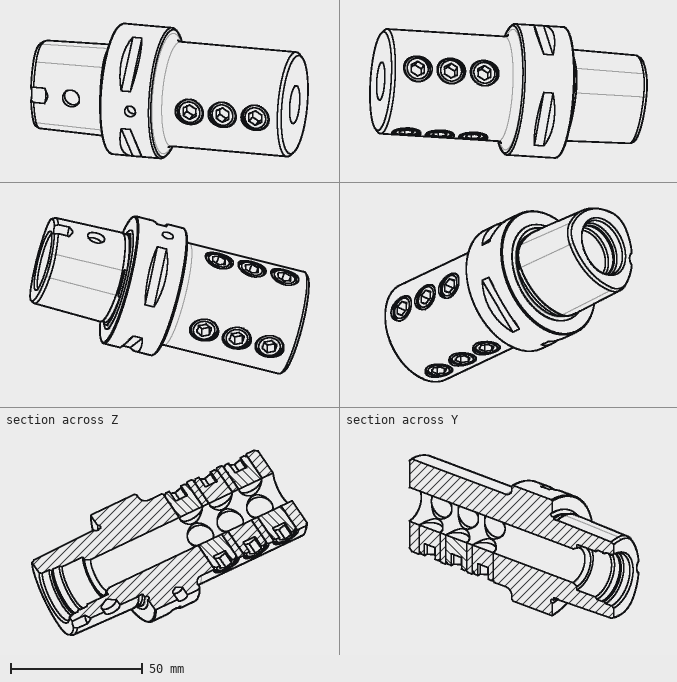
import cadquery as cq
import math

TOTAL_LENGTH = 100.0
FLANGE_RADIUS = 25.0
FLANGE_START = 30.0
FLANGE_WIDTH = 20.0
FLANGE_FRONT_CHAMFER = 0.4
FLANGE_BACK_CHAMFER = 0.7
BODY_RADIUS = 20.0
BODY_END_CHAMFER = 1.2
BODY_ROOT_FILLET = 3.0

SHANK_LOBE_HEIGHT = 1.0
SHANK_RADIUS = 17.5
SHANK_TAPER_PER_SIDE = 1 / 40
SHANK_TAPER_END = 27.7
SHANK_TIP_LENGTH = 1.3
SHANK_TIP_DEPTH = 0.7
NECK_DEPTH = 0.2
NECK_START = 28.6
NECK_ROUND_RADIUS = 17.7
LOBE_COUNT = 3
LOBE_HALF_ANGLE = 25.0

STEP_RADIUS = 17.9
STEP_START = 29.4
GROOVE_RADIUS = 0.75

BORE_RADIUS = 7.2
BORE_CONE_RADIUS = 8.2
BORE_CONE_LENGTH = 2.0
MOUTH_RADIUS = 11.6
MOUTH_CHAMFER_LENGTH = 1.0
ENTRY_RADIUS = 10.9
ENTRY_END = 4.0
LIP_RADIUS = 10.2
LIP_START = 4.7
LIP_END = 5.4
RECESS_RADIUS = 10.5
RECESS_END = 8.2
CHAMBER_RADIUS = 9.7
CHAMBER_START = RECESS_END + (RECESS_RADIUS - CHAMBER_RADIUS)
CHAMBER_END = 18.0

DRILL_POINT_HALF_ANGLE = 59.0
NOTCH_RADIUS = 3.4
NOTCH_DEPTH = 5.6
NOTCH_OFFSET = 17.2
SHANK_HOLE_X = 16.2
SHANK_HOLE_RADIUS = 3.3
SHANK_HOLE_FLOOR = 13.5
FLANGE_HOLE_X = 42.0
FLANGE_HOLE_RADIUS = 2.1
FLANGE_HOLE_FLOOR = 21.0

SLOT_COUNT = 4
SLOT_X = FLANGE_START + FLANGE_WIDTH / 2
SLOT_FLOOR_WIDTH = 3.6
SLOT_FLOOR_DISTANCE = 22.2
SLOT_FLANK_ANGLE = 30.0

SCREW_RADIUS = 5.0
SCREW_PITCH = 13.0
SCREWS_PER_ROW = 3
LAST_SCREW_X = 90.0
SCREW_TOP = 19.6
SCREW_TIP = BORE_RADIUS
SCREW_FACE_RADIUS = 4.1
SOCKET_ACROSS_FLATS = 5.0
SOCKET_DEPTH = 5.0
COUNTERSINK_RADIUS = 5.55
SCREW_ROW_ANGLES = (0, 90, 180)

FLANGE_END = FLANGE_START + FLANGE_WIDTH
CUT_MARGIN = 1.0


def turned(points):
    """Solid of revolution about X from (x, radius) points joined by straight lines."""
    return cq.Workplane("XY").polyline(points).close().revolve(360, (0, 0, 0), (1, 0, 0))


def lobed_point(radius, angle):
    """Point of a three-lobed curve whose outline lies radius + lobe height * cos(3 angle) from its axis."""
    reach = radius + SHANK_LOBE_HEIGHT * math.cos(LOBE_COUNT * angle)
    slide = -LOBE_COUNT * SHANK_LOBE_HEIGHT * math.sin(LOBE_COUNT * angle)
    return (
        reach * math.cos(angle) - slide * math.sin(angle),
        reach * math.sin(angle) + slide * math.cos(angle),
    )


def lobed_outline(x, radius):
    """Closed wire across X, made of one arc per lobe and one per flank, with a lobe on +Y."""
    half_lobe = math.radians(LOBE_HALF_ANGLE)
    half_flank = math.pi / LOBE_COUNT - half_lobe
    middles = [(i * math.pi / LOBE_COUNT, half_lobe if i % 2 == 0 else half_flank)
               for i in range(2 * LOBE_COUNT)]
    outline = cq.Workplane("YZ", origin=(x, 0, 0)).moveTo(*lobed_point(radius, -half_lobe))
    for middle, half_span in middles:
        outline = outline.threePointArc(
            lobed_point(radius, middle), lobed_point(radius, middle + half_span)
        )
    return outline.close().val()


def lobed_frustum(start, start_radius, end, end_radius):
    wires = [lobed_outline(start, start_radius), lobed_outline(end, end_radius)]
    return cq.Workplane(cq.Solid.makeLoft(wires, True))


def neck():
    """Straight lobed neck behind the taper, its three lobes turned down to a round."""
    neck_radius = SHANK_RADIUS - NECK_DEPTH
    lobed = lobed_frustum(SHANK_TAPER_END, neck_radius, FLANGE_START, neck_radius)
    turned_limit = turned([
        (SHANK_TAPER_END, 0),
        (SHANK_TAPER_END, SHANK_RADIUS + SHANK_LOBE_HEIGHT),
        (NECK_START, NECK_ROUND_RADIUS),
        (FLANGE_START, NECK_ROUND_RADIUS),
        (FLANGE_START, 0),
    ])
    return lobed.intersect(turned_limit)


def shank():
    tip_radius = SHANK_RADIUS - (SHANK_TAPER_END - SHANK_TIP_LENGTH) * SHANK_TAPER_PER_SIDE
    tip = lobed_frustum(0, tip_radius - SHANK_TIP_DEPTH, SHANK_TIP_LENGTH, tip_radius)
    taper = lobed_frustum(SHANK_TIP_LENGTH, tip_radius, SHANK_TAPER_END, SHANK_RADIUS)
    return tip.union(taper).union(neck())


def flange_and_body():
    groove_outer = STEP_RADIUS + 2 * GROOVE_RADIUS
    groove_middle = STEP_RADIUS + GROOVE_RADIUS
    fillet_centre = (FLANGE_END + BODY_ROOT_FILLET, BODY_RADIUS + BODY_ROOT_FILLET)
    fillet_reach = BODY_ROOT_FILLET * math.sqrt(0.5)
    profile = (
        cq.Workplane("XY")
        .moveTo(STEP_START, 0)
        .lineTo(STEP_START, STEP_RADIUS)
        .lineTo(FLANGE_START, STEP_RADIUS)
        .threePointArc((FLANGE_START + GROOVE_RADIUS, groove_middle), (FLANGE_START, groove_outer))
        .lineTo(FLANGE_START, FLANGE_RADIUS - FLANGE_FRONT_CHAMFER)
        .lineTo(FLANGE_START + FLANGE_FRONT_CHAMFER, FLANGE_RADIUS)
        .lineTo(FLANGE_END - FLANGE_BACK_CHAMFER, FLANGE_RADIUS)
        .lineTo(FLANGE_END, FLANGE_RADIUS - FLANGE_BACK_CHAMFER)
        .lineTo(FLANGE_END, fillet_centre[1])
        .threePointArc(
            (fillet_centre[0] - fillet_reach, fillet_centre[1] - fillet_reach),
            (fillet_centre[0], BODY_RADIUS),
        )
        .lineTo(TOTAL_LENGTH - BODY_END_CHAMFER, BODY_RADIUS)
        .lineTo(TOTAL_LENGTH, BODY_RADIUS - BODY_END_CHAMFER)
        .lineTo(TOTAL_LENGTH, 0)
        .close()
    )
    return profile.revolve(360, (0, 0, 0), (1, 0, 0))


def bore():
    return turned([
        (0, 0),
        (0, MOUTH_RADIUS),
        (MOUTH_CHAMFER_LENGTH, ENTRY_RADIUS),
        (ENTRY_END, ENTRY_RADIUS),
        (LIP_START, LIP_RADIUS),
        (LIP_END, LIP_RADIUS),
        (LIP_END, RECESS_RADIUS),
        (RECESS_END, RECESS_RADIUS),
        (CHAMBER_START, CHAMBER_RADIUS),
        (CHAMBER_END, CHAMBER_RADIUS),
        (CHAMBER_END, BORE_CONE_RADIUS),
        (CHAMBER_END + BORE_CONE_LENGTH, BORE_RADIUS),
        (TOTAL_LENGTH, BORE_RADIUS),
        (TOTAL_LENGTH, 0),
    ])


def drill(radius, length):
    """Drill along +X starting at the origin: a cylinder of this length plus its point."""
    point = radius / math.tan(math.radians(DRILL_POINT_HALF_ANGLE))
    return turned([(0, 0), (0, radius), (length, radius), (length + point, 0)])


def end_notch():
    return drill(NOTCH_RADIUS, NOTCH_DEPTH).translate((0, -NOTCH_OFFSET, 0))


def side_hole(x, radius, floor):
    """Hole drilled from the -Y side down to the distance `floor` from the X axis."""
    tool = drill(radius, FLANGE_RADIUS - floor).rotate((0, 0, 0), (0, 0, 1), 90)
    return tool.translate((x, -FLANGE_RADIUS, 0))


def rim_slots():
    """Straight slots with sloping flanks, one on each diagonal."""
    height = FLANGE_RADIUS + CUT_MARGIN - SLOT_FLOOR_DISTANCE
    floor_half = SLOT_FLOOR_WIDTH / 2
    top_half = floor_half + height * math.tan(math.radians(SLOT_FLANK_ANGLE))
    slot = (
        cq.Workplane("XZ")
        .polyline([
            (SLOT_X - floor_half, SLOT_FLOOR_DISTANCE),
            (SLOT_X + floor_half, SLOT_FLOOR_DISTANCE),
            (SLOT_X + top_half, SLOT_FLOOR_DISTANCE + height),
            (SLOT_X - top_half, SLOT_FLOOR_DISTANCE + height),
        ])
        .close()
        .extrude(FLANGE_RADIUS, both=True)
    )
    step = 360 / SLOT_COUNT
    return [slot.rotate((0, 0, 0), (1, 0, 0), (i + 0.5) * step) for i in range(SLOT_COUNT)]


def about_radial_axis(points):
    """Solid turned about the -Y axis from (radius, distance from the X axis) points."""
    profile = [(radius, -distance) for radius, distance in points]
    return cq.Workplane("XY").polyline(profile).close().revolve(360, (0, 0, 0), (0, 1, 0))


def screw_hole():
    rim = COUNTERSINK_RADIUS + CUT_MARGIN
    sink_start = BODY_RADIUS - (COUNTERSINK_RADIUS - SCREW_RADIUS)
    return about_radial_axis([
        (0, 0),
        (SCREW_RADIUS, 0),
        (SCREW_RADIUS, sink_start),
        (rim, BODY_RADIUS + CUT_MARGIN),
        (0, BODY_RADIUS + CUT_MARGIN),
    ])


def clamping_screw():
    chamfer = SCREW_RADIUS - SCREW_FACE_RADIUS
    blank = about_radial_axis([
        (0, SCREW_TIP),
        (SCREW_RADIUS, SCREW_TIP),
        (SCREW_RADIUS, SCREW_TOP - chamfer),
        (SCREW_FACE_RADIUS, SCREW_TOP),
        (0, SCREW_TOP),
    ])
    across_corners = SOCKET_ACROSS_FLATS / math.cos(math.pi / 6)
    socket = (
        cq.Workplane("XZ", origin=(0, -SCREW_TOP, 0))
        .transformed(rotate=(0, 0, 90))
        .polygon(6, across_corners)
        .extrude(-SOCKET_DEPTH)
    )
    return blank.cut(socket)


def at_screw_places(shape):
    """Copies of a shape at every screw place."""
    return [
        shape.translate((LAST_SCREW_X - i * SCREW_PITCH, 0, 0)).rotate((0, 0, 0), (1, 0, 0), angle)
        for angle in SCREW_ROW_ANGLES
        for i in range(SCREWS_PER_ROW)
    ]


def tool_holder():
    cuts = [
        bore(),
        end_notch(),
        side_hole(SHANK_HOLE_X, SHANK_HOLE_RADIUS, SHANK_HOLE_FLOOR),
        side_hole(FLANGE_HOLE_X, FLANGE_HOLE_RADIUS, FLANGE_HOLE_FLOOR),
        *rim_slots(),
        *at_screw_places(screw_hole()),
    ]
    holder = flange_and_body().union(shank())
    for cut in cuts:
        holder = holder.cut(cut)
    return holder


holder = tool_holder()
screws = at_screw_places(clamping_screw())
result = cq.Compound.makeCompound([holder.val(), *[screw.val() for screw in screws]])